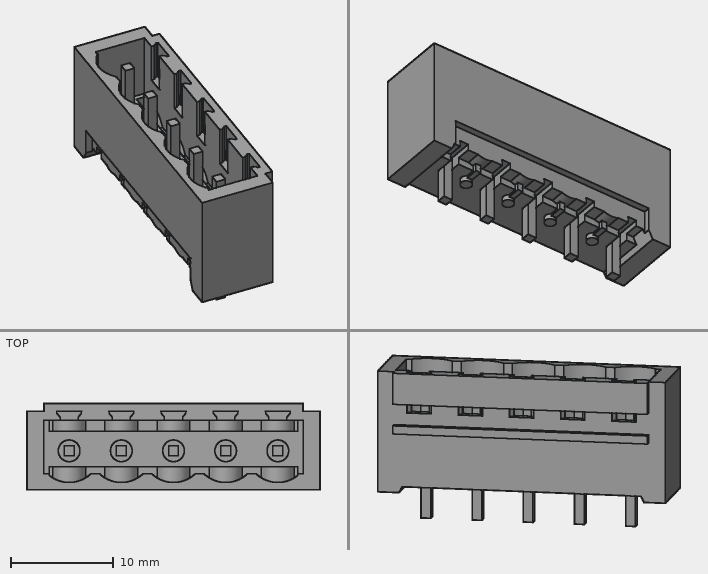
import cadquery as cq
import math

PIN_COUNT = 5
PITCH = 5.1
PIN_SIZE = 0.97
PIN_BOTTOM = -3.15
PIN_TOP = 11.13

LENGTH = 28.6
HEIGHT = 12.05
FRONT_Y = -3.8
REAR_Y = 3.85

FLANGE_HALF_LENGTH = 12.65
FLANGE_Y = 4.63
FLANGE_HEIGHT = 3.1
LEDGE_Y = 4.52
LEDGE_BOTTOM = 5.98
LEDGE_TOP = 6.78

CAVITY_HALF_LENGTH = FLANGE_HALF_LENGTH
CAVITY_FRONT_Y = -2.25
CAVITY_REAR_Y = 3.0
PLATFORM_Z = 5.32
PLATFORM_FRONT_Y = -1.55
PLATFORM_REAR_Y = 1.9
PIN_RECESS_RADIUS = 1.05
PIN_RECESS_DEPTH = 0.3

TRENCH_HALF_LENGTH = 12.13
TRENCH_Z = 3.9
SCALLOP_RADIUS = 3.1

HUMP_HALF_WIDTH = 1.6
HUMP_ARC_HALF_WIDTH = 1.2
FLANK_ANGLE = math.radians(52)
FLANK_HEIGHT = (HUMP_HALF_WIDTH - HUMP_ARC_HALF_WIDTH) * math.tan(FLANK_ANGLE)
HUMP_HEIGHT = FLANK_HEIGHT + HUMP_ARC_HALF_WIDTH * math.tan(FLANK_ANGLE / 2)

GROOVE_BOTTOM = 7.98
GROOVE_NECK_HALF_WIDTH = 0.9
GROOVE_HALF_WIDTH = 1.2
GROOVE_NECK_Y = 3.3
GROOVE_SHOULDER_Y = 3.65

OPENING_HALF_LENGTH = 12.18
STEP_HALF_LENGTH = 11.47
STEP_Z = 1.37
FLOOR_Z = 0.6
OPENING_SLOPE = (OPENING_HALF_LENGTH - STEP_HALF_LENGTH) / STEP_Z
STEP_REAR_Y = PLATFORM_FRONT_Y

RECESS_HALF_LENGTH = 11.7
RECESS_TOP = 3.6
RECESS_Y = -3.12
SLOT_TOP = 2.05

DIP_HALF_WIDTH = 0.85
DIP_DEPTH = 0.17
RIB_WIDTH = 0.57
RIB_FRONT_Y = -2.0
RIB_BOTTOM = 0.35
PEG_RADIUS = 0.6

PIN_XS = [(i - (PIN_COUNT - 1) / 2) * PITCH for i in range(PIN_COUNT)]
GAP_XS = [x + PITCH / 2 for x in PIN_XS[:-1]]


def block(x0, x1, y0, y1, z0, z1):
    """Box given by its limits along X, Y and Z."""
    return cq.Workplane("XY").box(x1 - x0, y1 - y0, z1 - z0, centered=False).translate((x0, y0, z0))


def wide_block(half_length, y0, y1, z0, z1):
    """Box centred on X = 0."""
    return block(-half_length, half_length, y0, y1, z0, z1)


def xz_profile(y):
    """Workplane for an X-Z outline at the given Y; a negative extrusion goes toward +Y."""
    return cq.Workplane("XZ", origin=(0, y, 0))


def shell():
    body = wide_block(LENGTH / 2, FRONT_Y, REAR_Y, 0, HEIGHT)
    flange = wide_block(FLANGE_HALF_LENGTH, REAR_Y, FLANGE_Y, HEIGHT - FLANGE_HEIGHT, HEIGHT)
    ledge = wide_block(FLANGE_HALF_LENGTH, REAR_Y, LEDGE_Y, LEDGE_BOTTOM, LEDGE_TOP)
    return body.union(flange).union(ledge)


def hump(x):
    """Rounded hump on the trench floor, running the full depth of the cavity in Y."""
    return (
        xz_profile(FRONT_Y)
        .moveTo(x - HUMP_HALF_WIDTH, TRENCH_Z)
        .lineTo(x - HUMP_ARC_HALF_WIDTH, TRENCH_Z + FLANK_HEIGHT)
        .threePointArc((x, TRENCH_Z + HUMP_HEIGHT), (x + HUMP_ARC_HALF_WIDTH, TRENCH_Z + FLANK_HEIGHT))
        .lineTo(x + HUMP_HALF_WIDTH, TRENCH_Z)
        .close()
        .extrude(FRONT_Y - REAR_Y)
    )


def cavity():
    """Everything removed from the top: main cavity, scallops and trenches, less the humps."""
    main = wide_block(CAVITY_HALF_LENGTH, CAVITY_FRONT_Y, CAVITY_REAR_Y, PLATFORM_Z, HEIGHT)
    trenches = wide_block(TRENCH_HALF_LENGTH, CAVITY_FRONT_Y, CAVITY_REAR_Y, TRENCH_Z, HEIGHT)
    front_half = wide_block(TRENCH_HALF_LENGTH, FRONT_Y, 0, TRENCH_Z, HEIGHT)
    for x in PIN_XS:
        scallop_plane = cq.Workplane("XY", origin=(x, 0, TRENCH_Z))
        scallop = scallop_plane.circle(SCALLOP_RADIUS).extrude(HEIGHT - TRENCH_Z)
        trenches = trenches.union(scallop.intersect(front_half))
    trenches = trenches.cut(
        wide_block(CAVITY_HALF_LENGTH, PLATFORM_FRONT_Y, PLATFORM_REAR_Y, TRENCH_Z, PLATFORM_Z)
    )
    for x in PIN_XS:
        trenches = trenches.cut(hump(x))
    return main.union(trenches)


def pin_recess(x):
    """Shallow round recess in the platform around a pin."""
    return (
        cq.Workplane("XY", origin=(x, 0, PLATFORM_Z - PIN_RECESS_DEPTH))
        .circle(PIN_RECESS_RADIUS)
        .extrude(PIN_RECESS_DEPTH)
    )


def dovetail_groove(x):
    """Groove from the top of the rear wall; below the flange it opens through the wall."""
    return (
        cq.Workplane("XY", origin=(x, 0, GROOVE_BOTTOM))
        .moveTo(-GROOVE_NECK_HALF_WIDTH, CAVITY_REAR_Y)
        .lineTo(-GROOVE_NECK_HALF_WIDTH, GROOVE_NECK_Y)
        .lineTo(-GROOVE_HALF_WIDTH, GROOVE_SHOULDER_Y)
        .lineTo(-GROOVE_HALF_WIDTH, REAR_Y)
        .lineTo(GROOVE_HALF_WIDTH, REAR_Y)
        .lineTo(GROOVE_HALF_WIDTH, GROOVE_SHOULDER_Y)
        .lineTo(GROOVE_NECK_HALF_WIDTH, GROOVE_NECK_Y)
        .lineTo(GROOVE_NECK_HALF_WIDTH, CAVITY_REAR_Y)
        .close()
        .extrude(HEIGHT - GROOVE_BOTTOM)
    )


def foot_opening(ceiling_z, rear_y):
    """Trapezoidal opening between the feet, from the front face back to rear_y."""
    top_half_length = OPENING_HALF_LENGTH - OPENING_SLOPE * ceiling_z
    return (
        xz_profile(FRONT_Y)
        .moveTo(-OPENING_HALF_LENGTH, 0)
        .lineTo(-top_half_length, ceiling_z)
        .lineTo(top_half_length, ceiling_z)
        .lineTo(OPENING_HALF_LENGTH, 0)
        .close()
        .extrude(FRONT_Y - rear_y)
    )


def step_dip(x):
    """Shallow rounded dip of the front wall's lower edge."""
    return (
        xz_profile(RECESS_Y)
        .moveTo(x - DIP_HALF_WIDTH, STEP_Z)
        .threePointArc((x, STEP_Z - DIP_DEPTH), (x + DIP_HALF_WIDTH, STEP_Z))
        .close()
        .extrude(RECESS_Y - STEP_REAR_Y)
    )


def rib(x):
    return block(x - RIB_WIDTH / 2, x + RIB_WIDTH / 2, RIB_FRONT_Y, 0, RIB_BOTTOM, STEP_Z)


def peg(x):
    return cq.Workplane("XY", origin=(x, 0, 0)).circle(PEG_RADIUS).extrude(FLOOR_Z)


def pin(x):
    half = PIN_SIZE / 2
    return block(x - half, x + half, -half, half, PIN_BOTTOM, PIN_TOP)


def pin_slot(x):
    """Slot under the front wall, from the front face back to the pin."""
    half = PIN_SIZE / 2
    return block(x - half, x + half, FRONT_Y, -half, 0, SLOT_TOP)


def make_housing():
    body = shell().cut(cavity())
    body = body.cut(foot_opening(FLOOR_Z, REAR_Y)).cut(foot_opening(STEP_Z, STEP_REAR_Y))
    body = body.cut(wide_block(RECESS_HALF_LENGTH, FRONT_Y, RECESS_Y, 0, RECESS_TOP))
    for x in GAP_XS:
        body = body.union(step_dip(x)).union(rib(x)).union(peg(x))
    for x in PIN_XS:
        body = body.cut(dovetail_groove(x)).cut(pin_recess(x)).cut(pin_slot(x)).cut(pin(x))
    return body


housing = make_housing()
pins = [pin(x) for x in PIN_XS]

result = cq.Compound.makeCompound([housing.solids().val(), *[p.val() for p in pins]])